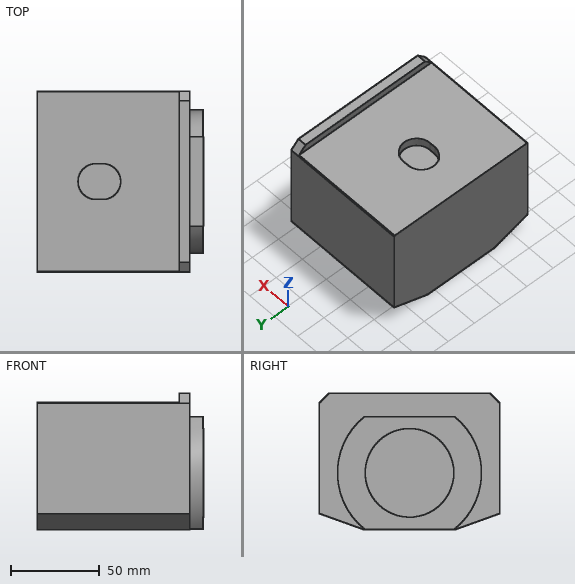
import cadquery as cq

total_length = 94.0
width = 102.0
total_height = 77.0

body_length = 86.1
bottom_bevel_width = 25.5
bottom_bevel_height = 9.2
top_chamfer = 5.5

lip_length = 6.0
lip_height = 5.0
top_face_height = total_height - lip_height

slot_width = 20.2
slot_length = 24.1
slot_depth = 6.2
slot_center_x = 35.1

flange_diameter = 81.2
flange_height = 63.4
flange_length = 7.5
flange_center_z = 32.1
disc_diameter = 50.0
flange_face_x = body_length + flange_length
disc_length = total_length - flange_face_x


def make_body():
    """Extrude the bevelled section, then lower the top to leave the lip."""
    half_width = width / 2
    half_bottom = half_width - bottom_bevel_width
    half_top = half_width - top_chamfer
    body = (
        cq.Workplane("YZ")
        .moveTo(-half_bottom, 0)
        .lineTo(half_bottom, 0)
        .lineTo(half_width, bottom_bevel_height)
        .lineTo(half_width, total_height - top_chamfer)
        .lineTo(half_top, total_height)
        .lineTo(-half_top, total_height)
        .lineTo(-half_width, total_height - top_chamfer)
        .lineTo(-half_width, bottom_bevel_height)
        .close()
        .extrude(body_length)
    )
    step = (
        cq.Workplane("XY", origin=(0, 0, top_face_height))
        .rect(2 * (body_length - lip_length), width)
        .extrude(lip_height)
    )
    return body.cut(step)


def make_slot():
    """Round-ended pocket volume, long along X."""
    return (
        cq.Workplane("XY", origin=(slot_center_x, 0, top_face_height))
        .slot2D(slot_length, slot_width)
        .extrude(-slot_depth)
    )


def make_flange():
    """Circular flange trimmed by two horizontal flats."""
    base = cq.Workplane("YZ", origin=(body_length, 0, flange_center_z))
    trim = base.rect(flange_diameter, flange_height).extrude(flange_length)
    return base.circle(flange_diameter / 2).extrude(flange_length).intersect(trim)


def make_disc():
    """Thin raised disc centred on the flange face."""
    face = cq.Workplane("YZ", origin=(flange_face_x, 0, flange_center_z))
    return face.circle(disc_diameter / 2).extrude(disc_length)


result = make_body().cut(make_slot()).union(make_flange()).union(make_disc())